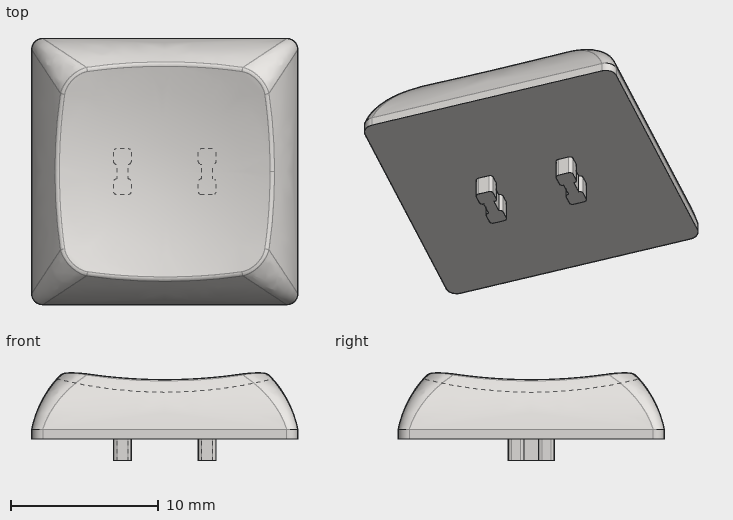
import cadquery as cq
import math


width = 18.0
skirt_height = 0.67
base_corner_radius = 0.75

flank_radius = 7.29
flank_base_angle = math.radians(11.5)
flank_height = 4.32
section_count = 5
corner_growth = 0.51

dish_radius = 30.06
dish_floor_z = 3.17
rim_fillet = 0.3

leg_length = 1.44
leg_thickness = 1.2
leg_width = 3.11
leg_spacing = 5.72
leg_corner_radius = 0.23
groove_floor_width = 0.95
groove_depth = 0.23


def flank_inset(height):
    """Inward lean of the flank arc at a height above the skirt."""
    center_drop = flank_radius * math.sin(flank_base_angle)
    start_reach = flank_radius * math.cos(flank_base_angle)
    return start_reach - math.sqrt(flank_radius**2 - (height + center_drop) ** 2)


def rounded_square(inset):
    """Flank outline drawn in by the given inset, with its corner radius grown to suit."""
    side = width - 2 * inset
    radius = base_corner_radius + corner_growth * inset
    return cq.Sketch().rect(side, side).vertices().fillet(radius)


def make_skirt():
    return cq.Workplane("XY").placeSketch(rounded_square(0)).extrude(skirt_height)


def make_flanks():
    heights = [flank_height * i / (section_count - 1) for i in range(section_count)]
    sections = [
        rounded_square(flank_inset(height)).moved(cq.Location(cq.Vector(0, 0, skirt_height + height)))
        for height in heights
    ]
    return cq.Workplane("XY").placeSketch(*sections).loft()


def make_dish_cutter():
    return cq.Workplane("XY").sphere(dish_radius).translate((0, 0, dish_floor_z + dish_radius))


def make_leg():
    """Rounded bar with a groove with rounded lips down the middle of both broad faces."""
    groove_mouth_width = groove_floor_width + 2 * groove_depth
    bar = (
        cq.Workplane("XY")
        .rect(leg_thickness, leg_width)
        .extrude(-leg_length)
        .edges("|Z")
        .fillet(leg_corner_radius)
    )
    face_x = leg_thickness / 2
    floor_x = face_x - groove_depth
    groove = (
        cq.Workplane("XY")
        .moveTo(face_x, groove_mouth_width / 2)
        .radiusArc((floor_x, groove_floor_width / 2), groove_depth)
        .lineTo(floor_x, -groove_floor_width / 2)
        .radiusArc((face_x, -groove_mouth_width / 2), groove_depth)
        .close()
        .extrude(-leg_length)
    )
    return bar.cut(groove).cut(groove.mirror("YZ"))


def make_cap():
    dished = make_flanks().cut(make_dish_cutter())
    return dished.faces("%SPHERE").edges().fillet(rim_fillet)


result = make_skirt().union(make_cap())
for side in (-1, 1):
    result = result.union(make_leg().translate((side * leg_spacing / 2, 0, 0)))